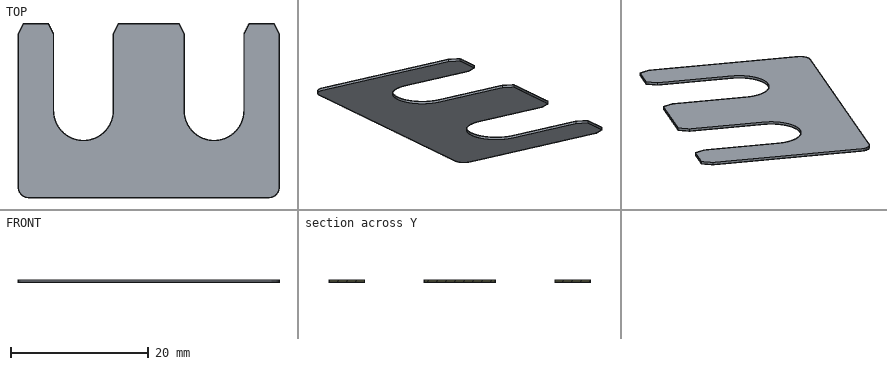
import cadquery as cq

length = 38.1
width = 25.4
thickness = 0.4
corner_radius = 1.52

slot_width = 8.7
slot_spacing = length / 2
slot_center_y = 0.0

tip_inset = 0.75
tip_length = 1.52

back_y = width / 2
slot_radius = slot_width / 2
slot_centers = (-slot_spacing / 2, slot_spacing / 2)


def make_plate():
    plate = cq.Workplane("XY").box(length, width, thickness)
    return plate.edges("|Z and <Y").fillet(corner_radius)


def make_slot(center_x):
    """Cutter for one slot, from its round end to the +Y edge."""
    return (
        cq.Workplane("XY", origin=(center_x, slot_center_y, -thickness / 2))
        .moveTo(-slot_radius, back_y - slot_center_y)
        .lineTo(-slot_radius, 0)
        .threePointArc((0, -slot_radius), (slot_radius, 0))
        .lineTo(slot_radius, back_y - slot_center_y)
        .close()
        .extrude(thickness)
    )


def make_tip_cut(side_x, inward):
    """Triangular cutter for one prong side; inward is +1 or -1 along X, into the prong."""
    return (
        cq.Workplane("XY", origin=(0, 0, -thickness / 2))
        .moveTo(side_x, back_y - tip_length)
        .lineTo(side_x + inward * tip_inset, back_y)
        .lineTo(side_x, back_y)
        .close()
        .extrude(thickness)
    )


result = make_plate()

for slot_x in slot_centers:
    result = result.cut(make_slot(slot_x))

for slot_x in slot_centers:
    result = result.cut(make_tip_cut(slot_x - slot_radius, -1))
    result = result.cut(make_tip_cut(slot_x + slot_radius, 1))

result = result.cut(make_tip_cut(-length / 2, 1))
result = result.cut(make_tip_cut(length / 2, -1))